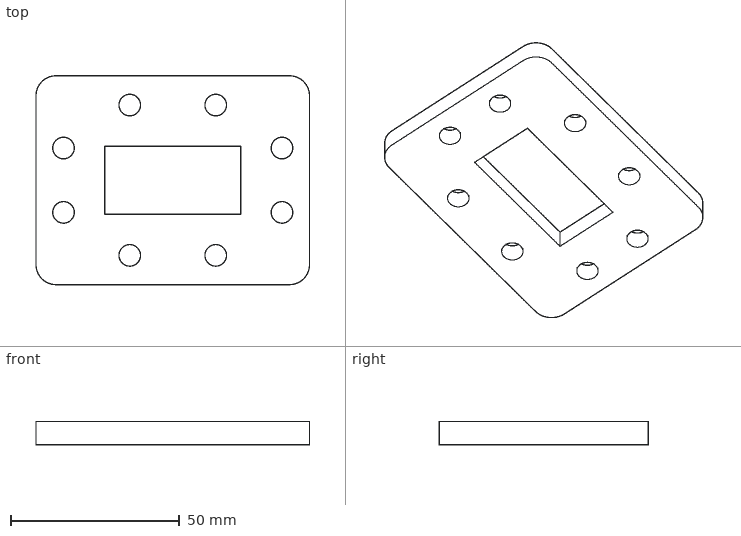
import cadquery as cq

length = 81.0
width = 61.9
thickness = 7.0
corner_radius = 6.0

window_length = 40.2
window_width = 20.1

hole_diameter = 6.3
long_edge_pitch = 25.4
long_edge_row_spacing = 44.5
short_edge_pitch = 19.0
short_edge_row_spacing = 64.6

plate = (
    cq.Workplane("XY")
    .box(length, width, thickness)
    .edges("|Z")
    .fillet(corner_radius)
)

window = cq.Workplane("XY").box(window_length, window_width, thickness)


def hole_cutters(spacing_x, spacing_y):
    """Four through-hole cylinders at the corners of a centred rectangle."""
    return (
        cq.Workplane("XY")
        .rect(spacing_x, spacing_y, forConstruction=True)
        .vertices()
        .circle(hole_diameter / 2)
        .extrude(thickness / 2, both=True)
    )


long_edge_holes = hole_cutters(long_edge_pitch, long_edge_row_spacing)
short_edge_holes = hole_cutters(short_edge_row_spacing, short_edge_pitch)

result = plate.cut(window).cut(long_edge_holes).cut(short_edge_holes)